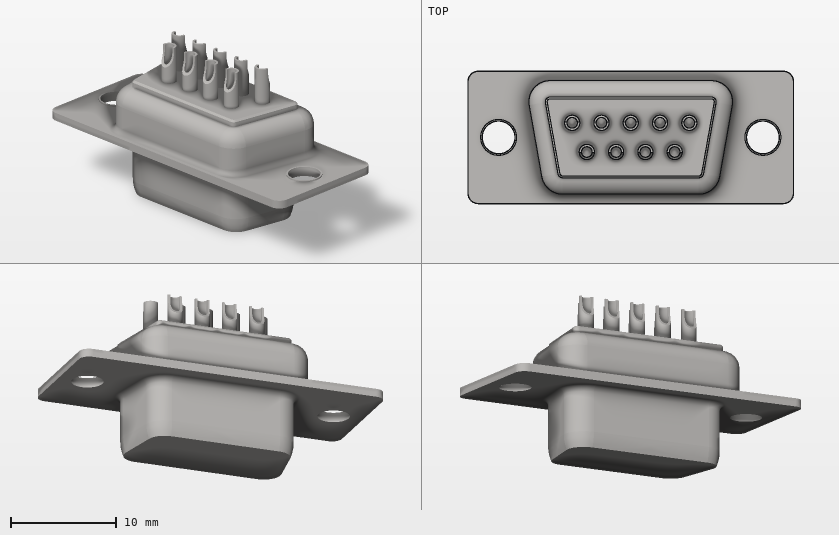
import cadquery as cq
import math

FLANGE_LENGTH = 30.81
FLANGE_WIDTH = 12.55
FLANGE_BOTTOM = 5.9
FLANGE_THICKNESS = 0.8
FLANGE_CORNER_RADIUS = 1.0
HOLE_SPACING = 25.0
HOLE_RADIUS = 1.54
RIM_RADIUS = 1.7
RIM_HEIGHT = 0.15

SIDE_ANGLE = math.radians(10)
CORNER_RADIUS = 2.0
ROOT_FILLET = 0.5

BODY_WIDTH = 10.74
BODY_LENGTH = 19.26
BODY_TOP = 11.0
BODY_ROUND = 1.55

PLUG_WIDTH = 8.14
PLUG_LENGTH = 16.44
PLUG_NOSE_HEIGHT = 1.47
PLUG_NOSE_INSET = 0.3
PLUG_NOSE_SECTIONS = 4

INSULATOR_TOP = 11.68
INSULATOR_CHAMFER = 0.18

PIN_RADIUS = 0.72
PIN_TOP = 15.3
PIN_PITCH = 2.77
ROW_OFFSET = 1.38
ROWS = ((5, 1), (4, -1))
CUP_BORE_RADIUS = 0.5
CUP_BORE_BOTTOM = 12.8
SCOOP_OFFSET = 0.06
SCOOP_RADIUS = 2.0
SCOOP_CENTER_HEIGHT = 14.8

FLANGE_TOP = FLANGE_BOTTOM + FLANGE_THICKNESS


def d_outline(length, width, inset, height):
    """D-shaped outline, widest near its +Y edge, shrunk by inset around fixed corner centres."""
    radius = CORNER_RADIUS - inset
    center_y = width / 2 - CORNER_RADIUS
    wide_x = length / 2 - CORNER_RADIUS
    narrow_x = wide_x - 2 * center_y * math.tan(SIDE_ANGLE)

    def on_corner(center_x, corner_y, angle):
        return (center_x + radius * math.cos(angle), corner_y + radius * math.sin(angle))

    def mirrored(point):
        return (-point[0], point[1])

    quarter = math.pi / 2
    wide_side = on_corner(wide_x, center_y, -SIDE_ANGLE)
    wide_middle = on_corner(wide_x, center_y, (quarter - SIDE_ANGLE) / 2)
    wide_end = on_corner(wide_x, center_y, quarter)
    narrow_side = on_corner(narrow_x, -center_y, -SIDE_ANGLE)
    narrow_middle = on_corner(narrow_x, -center_y, -(quarter + SIDE_ANGLE) / 2)
    narrow_end = on_corner(narrow_x, -center_y, -quarter)

    return (
        cq.Workplane("XY", origin=(0, 0, height))
        .moveTo(*narrow_end)
        .threePointArc(narrow_middle, narrow_side)
        .lineTo(*wide_side)
        .threePointArc(wide_middle, wide_end)
        .lineTo(*mirrored(wide_end))
        .threePointArc(mirrored(wide_middle), mirrored(wide_side))
        .lineTo(*mirrored(narrow_side))
        .threePointArc(mirrored(narrow_middle), mirrored(narrow_end))
        .close()
    )


def make_flange():
    return (
        cq.Workplane("XY", origin=(0, 0, FLANGE_BOTTOM))
        .rect(FLANGE_LENGTH, FLANGE_WIDTH)
        .extrude(FLANGE_THICKNESS)
        .edges("|Z")
        .fillet(FLANGE_CORNER_RADIUS)
    )


def make_body():
    body = d_outline(BODY_LENGTH, BODY_WIDTH, 0, FLANGE_TOP).extrude(BODY_TOP - FLANGE_TOP)
    return body.faces(">Z").edges().fillet(BODY_ROUND)


def make_plug():
    """Straight shell whose nose draws in along an arc that starts tangent to the walls."""
    shell = d_outline(PLUG_LENGTH, PLUG_WIDTH, 0, PLUG_NOSE_HEIGHT).extrude(FLANGE_BOTTOM - PLUG_NOSE_HEIGHT)
    arc_radius = (PLUG_NOSE_HEIGHT**2 + PLUG_NOSE_INSET**2) / (2 * PLUG_NOSE_INSET)
    wires = []
    for step in range(PLUG_NOSE_SECTIONS):
        drop = PLUG_NOSE_HEIGHT * step / (PLUG_NOSE_SECTIONS - 1)
        inset = arc_radius - math.sqrt(arc_radius**2 - drop**2)
        wires.append(d_outline(PLUG_LENGTH, PLUG_WIDTH, inset, PLUG_NOSE_HEIGHT - drop).val())
    nose = cq.Solid.makeLoft(wires)
    return shell.union(cq.Workplane(nose))


def fillet_shell_roots(part):
    """Round the edges where the body and the plug meet the flange."""
    margin = 0.01
    for height, length, width in (
        (FLANGE_TOP, BODY_LENGTH, BODY_WIDTH),
        (FLANGE_BOTTOM, PLUG_LENGTH, PLUG_WIDTH),
    ):
        reach_x = length / 2 + margin
        reach_y = width / 2 + margin
        root = cq.selectors.BoxSelector(
            (-reach_x, -reach_y, height - margin), (reach_x, reach_y, height + margin), boundingbox=True
        )
        part = part.edges(root).fillet(ROOT_FILLET)
    return part


def make_insulator():
    """Block filling the flat left inside the rounded top of the body."""
    block = d_outline(BODY_LENGTH, BODY_WIDTH, BODY_ROUND, FLANGE_TOP).extrude(INSULATOR_TOP - FLANGE_TOP)
    return block.faces(">Z").edges().chamfer(INSULATOR_CHAMFER)


def hole_disks(radius, bottom, top):
    return (
        cq.Workplane("XY", origin=(0, 0, bottom))
        .pushPoints([(-HOLE_SPACING / 2, 0), (HOLE_SPACING / 2, 0)])
        .circle(radius)
        .extrude(top - bottom)
    )


def make_solder_cup(x, side):
    """Pin with a blind bore, scooped open on the side facing away from the other row."""
    pin = cq.Workplane("XY", origin=(0, 0, FLANGE_TOP)).circle(PIN_RADIUS).extrude(PIN_TOP - FLANGE_TOP)
    bore = (
        cq.Workplane("XY", origin=(0, 0, CUP_BORE_BOTTOM))
        .circle(CUP_BORE_RADIUS)
        .extrude(PIN_TOP - CUP_BORE_BOTTOM)
    )
    scoop_center_y = SCOOP_OFFSET + SCOOP_RADIUS
    scoop = (
        cq.Workplane("YZ", origin=(-PIN_RADIUS, 0, 0))
        .center(scoop_center_y, SCOOP_CENTER_HEIGHT)
        .circle(SCOOP_RADIUS)
        .extrude(2 * PIN_RADIUS)
    )
    opening = (
        cq.Workplane("XY", origin=(0, scoop_center_y, SCOOP_CENTER_HEIGHT))
        .rect(2 * PIN_RADIUS, 2 * SCOOP_RADIUS)
        .extrude(PIN_TOP - SCOOP_CENTER_HEIGHT)
    )
    cup = pin.cut(bore).cut(scoop).cut(opening)
    if side < 0:
        cup = cup.mirror("XZ")
    return cup.translate((x, side * ROW_OFFSET, 0))


result = make_flange().union(make_body()).union(make_plug())
result = fillet_shell_roots(result)
result = result.union(make_insulator())
result = result.union(hole_disks(RIM_RADIUS, FLANGE_BOTTOM, FLANGE_TOP + RIM_HEIGHT))
result = result.cut(hole_disks(HOLE_RADIUS, FLANGE_BOTTOM, FLANGE_TOP + RIM_HEIGHT))
for pin_count, row_side in ROWS:
    for index in range(pin_count):
        pin_x = (index - (pin_count - 1) / 2) * PIN_PITCH
        result = result.union(make_solder_cup(pin_x, row_side))